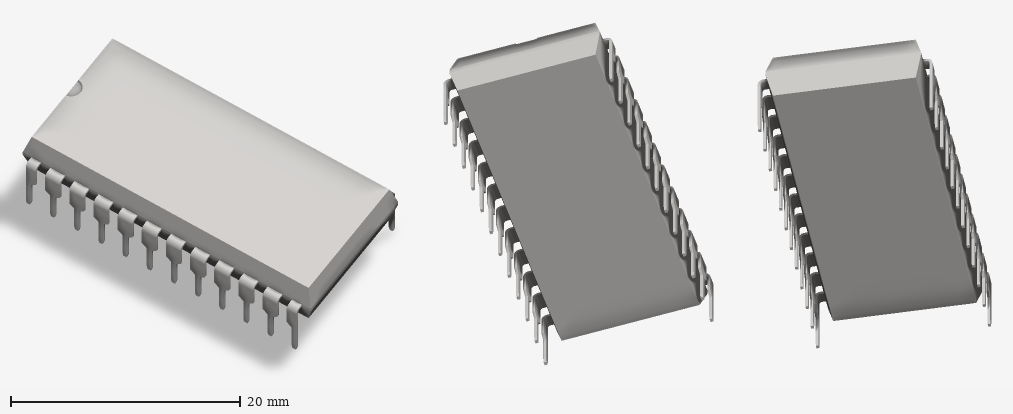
import cadquery as cq
import math


BODY_LENGTH = 30.2
BODY_WIDTH = 13.8
BODY_HEIGHT = 4.55
BAND_HEIGHT = 0.4
DRAFT_ANGLE = 15.0

NOTCH_RADIUS = 1.0
NOTCH_FLOOR_RADIUS = 0.9
NOTCH_DEPTH = 0.2
NOTCH_OVERHANG = 0.1

LEADS_PER_ROW = 12
LEAD_PITCH = 2.55
ROW_SPAN = 15.5
OVERALL_HEIGHT = 8.0
LEAD_THICKNESS = 0.25
BEND_RADIUS = 0.5
LEAD_EMBED = 0.6
SHOULDER_WIDTH = 1.55
PIN_WIDTH = 0.5
PIN_LENGTH = 3.05
TAPER_HEIGHT = 0.4
TIP_HEIGHT = 0.4
TIP_INSET = 0.1

top_z = BODY_HEIGHT / 2
tip_z = top_z - OVERALL_HEIGHT
lead_top_z = LEAD_THICKNESS / 2
row_face_y = ROW_SPAN / 2
slope_height = (BODY_HEIGHT - BAND_HEIGHT) / 2
face_inset = slope_height * math.tan(math.radians(DRAFT_ANGLE))
top_length = BODY_LENGTH - 2 * face_inset
top_width = BODY_WIDTH - 2 * face_inset


def make_body():
    band = cq.Workplane("XY").box(BODY_LENGTH, BODY_WIDTH, BAND_HEIGHT)
    upper = (
        cq.Workplane("XY", origin=(0, 0, BAND_HEIGHT / 2))
        .rect(BODY_LENGTH, BODY_WIDTH)
        .workplane(offset=slope_height)
        .rect(top_length, top_width)
        .loft(ruled=True)
    )
    return band.union(upper).union(upper.mirror("XY"))


def make_notch():
    """Round pocket with a slightly conical wall, cut off by the sloping end of the body."""
    axis_x = -top_length / 2 - NOTCH_OVERHANG
    return (
        cq.Workplane("XY", origin=(axis_x, 0, top_z - NOTCH_DEPTH))
        .circle(NOTCH_FLOOR_RADIUS)
        .workplane(offset=NOTCH_DEPTH)
        .circle(NOTCH_RADIUS)
        .loft()
    )


def make_bent_strip():
    """Side profile of the -Y leads, extruded to the full shoulder width."""
    inner_end_y = -BODY_WIDTH / 2 + LEAD_EMBED
    return (
        cq.Workplane("YZ")
        .moveTo(inner_end_y, lead_top_z)
        .lineTo(-row_face_y + BEND_RADIUS, lead_top_z)
        .radiusArc((-row_face_y, lead_top_z - BEND_RADIUS), -BEND_RADIUS)
        .lineTo(-row_face_y, tip_z)
        .lineTo(-row_face_y + LEAD_THICKNESS, tip_z)
        .lineTo(-row_face_y + LEAD_THICKNESS, lead_top_z - BEND_RADIUS)
        .radiusArc((-row_face_y + BEND_RADIUS, -lead_top_z), BEND_RADIUS - LEAD_THICKNESS)
        .lineTo(inner_end_y, -lead_top_z)
        .close()
        .extrude(SHOULDER_WIDTH / 2, both=True)
    )


def make_front_outline(left_shoulder, right_shoulder):
    """Outline of a lead in the XZ plane; each argument is the shoulder half-width on that side."""
    pin_half = PIN_WIDTH / 2
    tip_half = pin_half - TIP_INSET
    taper_z = tip_z + PIN_LENGTH
    points = [
        (-tip_half, tip_z),
        (tip_half, tip_z),
        (pin_half, tip_z + TIP_HEIGHT),
        (pin_half, taper_z),
    ]
    if right_shoulder > pin_half:
        points.append((right_shoulder, taper_z + TAPER_HEIGHT))
    points.append((right_shoulder, lead_top_z))
    points.append((-left_shoulder, lead_top_z))
    if left_shoulder > pin_half:
        points.append((-left_shoulder, taper_z + TAPER_HEIGHT))
    points += [(-pin_half, taper_z), (-pin_half, tip_z + TIP_HEIGHT)]
    return cq.Workplane("XZ").polyline(points).close().extrude(ROW_SPAN, both=True)


def make_lead(index):
    """Lead of the -Y row; the two end leads have no shoulder on their outward side."""
    left_shoulder = PIN_WIDTH / 2 if index == 0 else SHOULDER_WIDTH / 2
    right_shoulder = PIN_WIDTH / 2 if index == LEADS_PER_ROW - 1 else SHOULDER_WIDTH / 2
    lead = make_bent_strip().intersect(make_front_outline(left_shoulder, right_shoulder))
    return lead.translate(((index - (LEADS_PER_ROW - 1) / 2) * LEAD_PITCH, 0, 0))


result = make_body().cut(make_notch())
for lead_index in range(LEADS_PER_ROW):
    front_lead = make_lead(lead_index)
    result = result.union(front_lead).union(front_lead.mirror("XZ"))